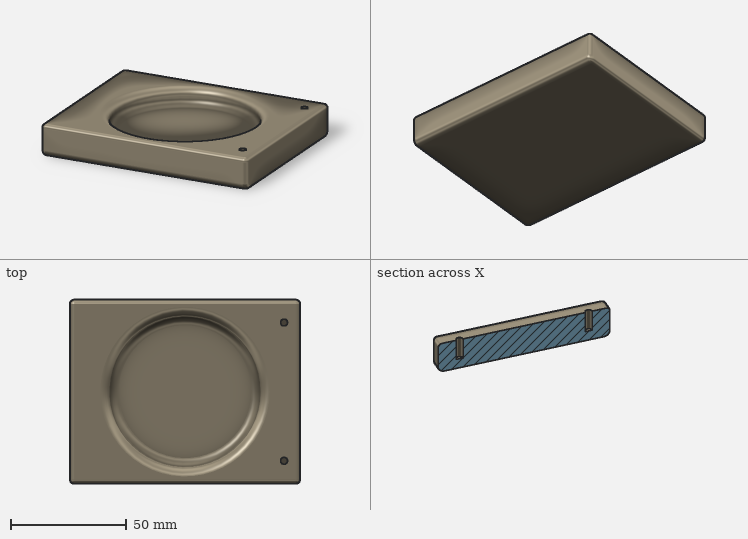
import cadquery as cq

length = 100
width = 80
height = 15
edge_radius = 2
bottom_long_edge_radius = 3

recess_wall_radius = 32.8
recess_blend_radius = 4
recess_depth = 2 * recess_blend_radius

hole_diameter = 3
hole_depth = 10
hole_x = 43
hole_spacing = 60


def make_plate():
    """Block with its base at Z = 0 and all edges rounded."""
    block = cq.Workplane("XY").box(length, width, height, centered=(True, True, False))
    block = block.faces("<Z").edges("|X").fillet(bottom_long_edge_radius)
    return block.faces(">Z or >X or <X").edges().fillet(edge_radius)


def make_recess():
    """Revolved S-shaped recess profile, open at the top face."""
    floor_z = height - recess_depth
    wall_z = height - recess_blend_radius
    rim_radius = recess_wall_radius + recess_blend_radius
    floor_radius = recess_wall_radius - recess_blend_radius
    profile = (
        cq.Workplane("XZ")
        .moveTo(0, floor_z)
        .lineTo(floor_radius, floor_z)
        .radiusArc((recess_wall_radius, wall_z), -recess_blend_radius)
        .radiusArc((rim_radius, height), recess_blend_radius)
        .lineTo(0, height)
        .close()
    )
    return profile.revolve(360, (0, 0, 0), (0, 1, 0))


def make_holes():
    """Pair of cylinders reaching down from the top face."""
    return (
        cq.Workplane("XY", origin=(0, 0, height))
        .pushPoints([(hole_x, side * hole_spacing / 2) for side in (-1, 1)])
        .circle(hole_diameter / 2)
        .extrude(-hole_depth)
    )


result = make_plate().cut(make_recess()).cut(make_holes())